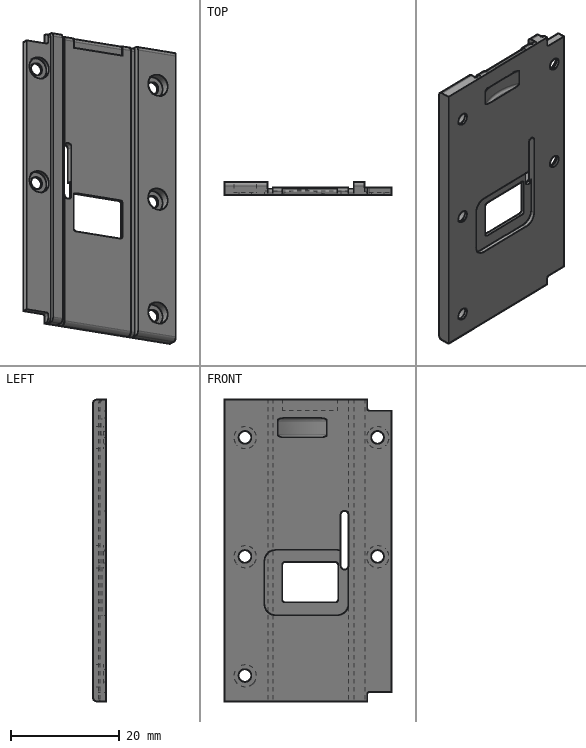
import cadquery as cq

WIDTH = 30.9
LENGTH = 55.8
TOP = LENGTH / 2
BOTTOM = -TOP

RAISED_THICKNESS = 2.45
PLATE_THICKNESS = 1.45
THIN_THICKNESS = 1.2
END_ROUND_RADIUS = 0.75

RIM_END = 8.0
PANEL_START = 8.9
PANEL_END = 22.9
RIB_START = 23.9
RIB_END = 25.9

STEP_START = 10.7
STEP_END = 20.9
STEP_LENGTH = 2.0

NOTCH_X = 26.4
TOP_NOTCH_HEIGHT = 2.05
BOTTOM_NOTCH_HEIGHT = 1.75
NOTCH_CORNER_RADIUS = 0.4

HOLE_DIAMETER = 2.3
COUNTERBORE_DIAMETER = 4.1
HOLE_LAND = 0.5
HOLE_PITCH = 22.0
HOLE_LEFT_X = 3.8
HOLE_RIGHT_X = 28.3
HOLE_TOP_Z = 20.9
HOLES_LEFT = 3
HOLES_RIGHT = 2

POCKET_WIDTH = 15.5
POCKET_HEIGHT = 12.05
POCKET_BOTTOM = -11.95
POCKET_DEPTH = 0.8
POCKET_CORNER_RADIUS = 2.05
WINDOW_START = 10.7
WINDOW_WIDTH = 10.3
WINDOW_BOTTOM = -9.55
WINDOW_HEIGHT = 7.4
WINDOW_CORNER_RADIUS = 0.5

SLOT_WIDTH = 1.4
SLOT_BOTTOM = -3.5
SLOT_HEIGHT = 10.8

RECESS_CENTER_X = 14.4
RECESS_WIDTH = 9.1
RECESS_BOTTOM = 20.9
RECESS_HEIGHT = 3.6
RECESS_DEPTH = 1.0
RECESS_FLOOR_RADIUS = 0.5


def block(x_start, x_end, y_start, y_end, z_start, z_end):
    size = (x_end - x_start, y_end - y_start, z_end - z_start)
    return cq.Workplane("XY").box(*size, centered=False).translate((x_start, y_start, z_start))


def strip(x_start, x_end, thickness):
    """Full-length strip with its two back end edges rounded."""
    body = block(x_start, x_end, 0, thickness, BOTTOM, TOP)
    return body.edges("|X and >Y").fillet(END_ROUND_RADIUS)


def rounded_block(x_start, width, z_start, height, depth, corner_radius):
    """Block reaching from the front face to the given depth, rounded at its four corners."""
    body = block(x_start, x_start + width, 0, depth, z_start, z_start + height)
    return body.edges("|Y").fillet(corner_radius)


def cylinder(x, z, y_start, y_end, diameter):
    axis = cq.Vector(0, 1, 0)
    return cq.Workplane(
        cq.Solid.makeCylinder(diameter / 2, y_end - y_start, cq.Vector(x, y_start, z), axis)
    )


def stepped_panel():
    """Middle strip of the panel, thinner next to the top edge."""
    step = block(STEP_START, STEP_END, 0, PLATE_THICKNESS, TOP - STEP_LENGTH, TOP)
    full = strip(STEP_START, STEP_END, PLATE_THICKNESS).cut(step)
    return full.union(strip(STEP_START, STEP_END, THIN_THICKNESS))


def plate_body():
    strips = [
        (RIM_END, PANEL_START, THIN_THICKNESS),
        (PANEL_START, STEP_START, PLATE_THICKNESS),
        (STEP_END, PANEL_END, PLATE_THICKNESS),
        (PANEL_END, RIB_START, THIN_THICKNESS),
        (RIB_START, RIB_END, RAISED_THICKNESS),
        (RIB_END, WIDTH, PLATE_THICKNESS),
    ]
    body = strip(0, RIM_END, RAISED_THICKNESS)
    for x_start, x_end, thickness in strips:
        body = body.union(strip(x_start, x_end, thickness))
    return body.union(stepped_panel())


def corner_notch(z_start, z_end, inner_side):
    notch = block(NOTCH_X, WIDTH, 0, RAISED_THICKNESS, z_start, z_end)
    return notch.edges("|Y and <X").edges(inner_side).fillet(NOTCH_CORNER_RADIUS)


def screw_hole(x, z):
    hole = cylinder(x, z, 0, RAISED_THICKNESS, HOLE_DIAMETER)
    return hole.union(cylinder(x, z, HOLE_LAND, RAISED_THICKNESS, COUNTERBORE_DIAMETER))


def through_slot():
    radius = SLOT_WIDTH / 2
    x_start = PANEL_END - SLOT_WIDTH
    lower_z = SLOT_BOTTOM + radius
    upper_z = SLOT_BOTTOM + SLOT_HEIGHT - radius
    slot = block(x_start, PANEL_END, 0, PLATE_THICKNESS, lower_z, upper_z)
    for end_z in (lower_z, upper_z):
        slot = slot.union(cylinder(x_start + radius, end_z, 0, PLATE_THICKNESS, SLOT_WIDTH))
    return slot


def finger_recess():
    """Cylinder along Z with rounded rims, of which only a shallow segment dips into the plate."""
    radius = ((RECESS_WIDTH / 2) ** 2 + RECESS_DEPTH**2) / (2 * RECESS_DEPTH)
    drum = (
        cq.Workplane("XY", origin=(RECESS_CENTER_X, RECESS_DEPTH - radius, RECESS_BOTTOM))
        .circle(radius)
        .extrude(RECESS_HEIGHT)
    )
    return drum.edges("%CIRCLE").fillet(RECESS_FLOOR_RADIUS)


def front_pocket():
    return rounded_block(
        PANEL_END - POCKET_WIDTH,
        POCKET_WIDTH,
        POCKET_BOTTOM,
        POCKET_HEIGHT,
        POCKET_DEPTH,
        POCKET_CORNER_RADIUS,
    )


def window():
    return rounded_block(
        WINDOW_START, WINDOW_WIDTH, WINDOW_BOTTOM, WINDOW_HEIGHT, PLATE_THICKNESS, WINDOW_CORNER_RADIUS
    )


result = plate_body()
result = result.cut(corner_notch(TOP - TOP_NOTCH_HEIGHT, TOP, "<Z"))
result = result.cut(corner_notch(BOTTOM, BOTTOM + BOTTOM_NOTCH_HEIGHT, ">Z"))

for hole_x, hole_count in ((HOLE_LEFT_X, HOLES_LEFT), (HOLE_RIGHT_X, HOLES_RIGHT)):
    for row in range(hole_count):
        result = result.cut(screw_hole(hole_x, HOLE_TOP_Z - row * HOLE_PITCH))

for opening in (front_pocket(), window(), through_slot(), finger_recess()):
    result = result.cut(opening)